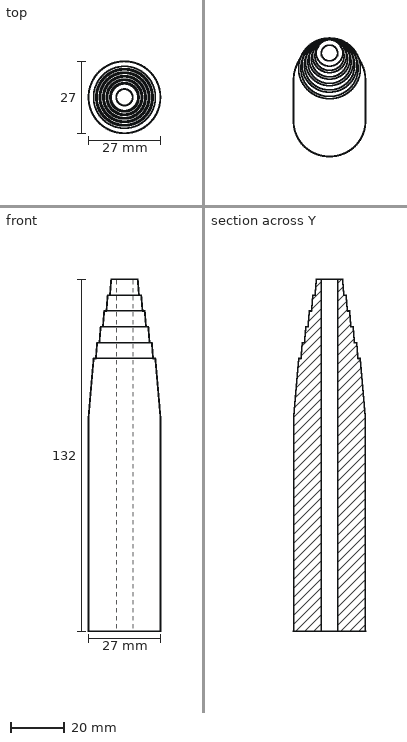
import cadquery as cq

total_height = 132
body_diameter = 27.0
body_height = 80.3
bore_diameter = 6.1

ring_count = 5
ring_height = 6.0
tip_radius = 5.0
ring_growth = 1.3
ring_flare = 0.46

body_radius = body_diameter / 2


def half_profile():
    """Points of the outer outline, from the axis at the tip to the axis at the base."""
    points = [(0, total_height)]
    for ring in range(ring_count):
        top_radius = tip_radius + ring * ring_growth
        top_z = total_height - ring * ring_height
        points.append((top_radius, top_z))
        points.append((top_radius + ring_flare, top_z - ring_height))
    shoulder_radius = tip_radius + ring_count * ring_growth
    shoulder_z = total_height - ring_count * ring_height
    points.append((shoulder_radius, shoulder_z))
    points.append((body_radius, body_height))
    points.append((body_radius, 0))
    points.append((0, 0))
    return points


outer = cq.Workplane("XZ").polyline(half_profile()).close().revolve(360, (0, 0), (0, 1))

bore = cq.Workplane("XY").circle(bore_diameter / 2).extrude(total_height)

result = outer.cut(bore)